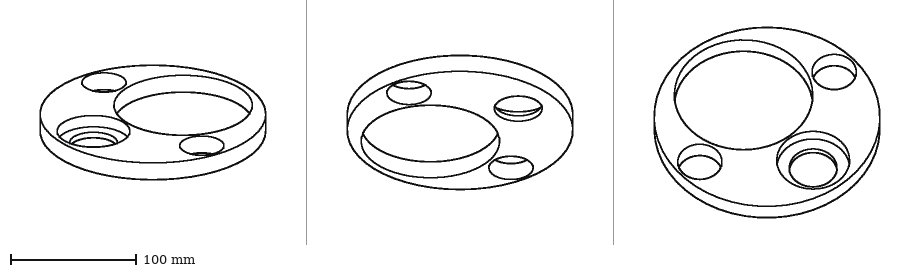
import cadquery as cq

disc_diameter = 180.0
disc_thickness = 15.0

opening_diameter = 110.2
opening_offset = 29.0

side_hole_diameter = 35.2
side_hole_offset = 70.0

bore_diameter = 38.0
counterbore_diameter = 58.0
counterbore_depth = 10.0
bore_offset = 57.0


def make_disc():
    """Plain disc centred on the origin, with its bottom face at Z = 0."""
    return cq.Workplane("XY").circle(disc_diameter / 2).extrude(disc_thickness)


def cut_opening(body):
    """Large round opening through the disc."""
    return body.faces(">Z").workplane(origin=(0, opening_offset, 0)).hole(opening_diameter)


def cut_side_holes(body):
    """Matching through holes on either side of the centre."""
    centres = [(-side_hole_offset, 0), (side_hole_offset, 0)]
    top = body.faces(">Z").workplane(origin=(0, 0, 0))
    return top.pushPoints(centres).hole(side_hole_diameter)


def cut_counterbored_hole(body):
    """Through hole with a flat-bottomed counterbore in the top face."""
    top = body.faces(">Z").workplane(origin=(0, -bore_offset, 0))
    return top.cboreHole(bore_diameter, counterbore_diameter, counterbore_depth)


result = make_disc()
result = cut_opening(result)
result = cut_side_holes(result)
result = cut_counterbored_hole(result)